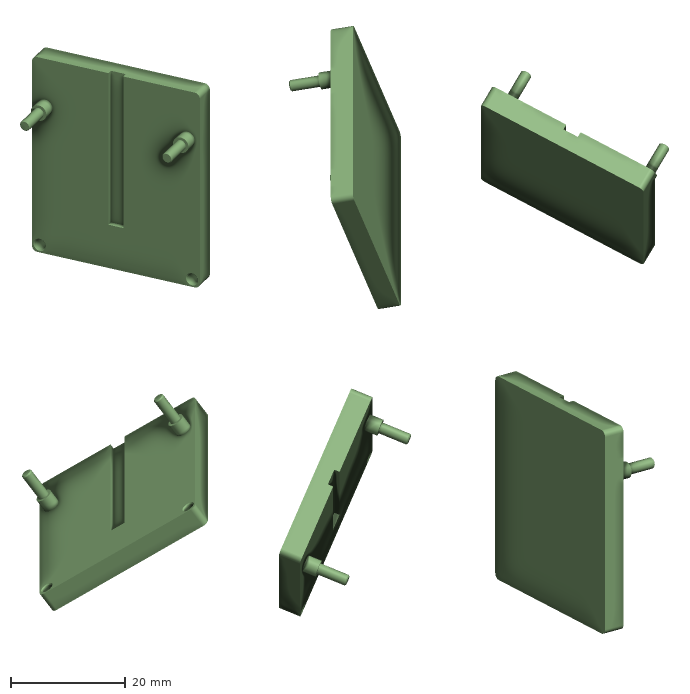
import cadquery as cq

plate_width = 32.72
plate_height = 38.5
plate_thickness = 4.0
corner_radius = 1.0

groove_width = 2.9
groove_depth = 1.0
groove_bottom = 8.55

pin_spacing = 27.72
pin_height = 28.95
collar_radius = 1.5
collar_length = 2.5
pin_radius = 1.0
pin_reach = 8.0
pin_chamfer = 0.2

hole_spacing = 29.72
hole_height = 1.5
hole_radius = 1.0
hole_depth = 3.0
hole_chamfer = 0.2


def front_rod(radius, length):
    """Rod starting on the origin and pointing forward along -Y."""
    return cq.Workplane("XZ").circle(radius).extrude(length)


def make_plate():
    plate = cq.Workplane("XY").box(
        plate_width, plate_thickness, plate_height, centered=(True, False, False)
    )
    return plate.edges("|Y").fillet(corner_radius)


def make_groove():
    groove = cq.Workplane("XY").box(
        groove_width, groove_depth, plate_height - groove_bottom, centered=(True, False, False)
    )
    return groove.translate((0, 0, groove_bottom))


def make_pin():
    shank = front_rod(pin_radius, pin_reach).faces("<Y").chamfer(pin_chamfer)
    return front_rod(collar_radius, collar_length).union(shank)


def make_hole():
    """Cutter for one hole, widening at its mouth on Y = 0."""
    mouth_radius = hole_radius + hole_chamfer
    half_section = [
        (0, 0),
        (mouth_radius, 0),
        (hole_radius, hole_chamfer),
        (hole_radius, hole_depth),
        (0, hole_depth),
    ]
    return cq.Workplane("XY").polyline(half_section).close().revolve(360, (0, 0), (0, 1))


result = make_plate().cut(make_groove())
for side in (-1, 1):
    result = result.union(make_pin().translate((side * pin_spacing / 2, 0, pin_height)))
    result = result.cut(make_hole().translate((side * hole_spacing / 2, 0, hole_height)))